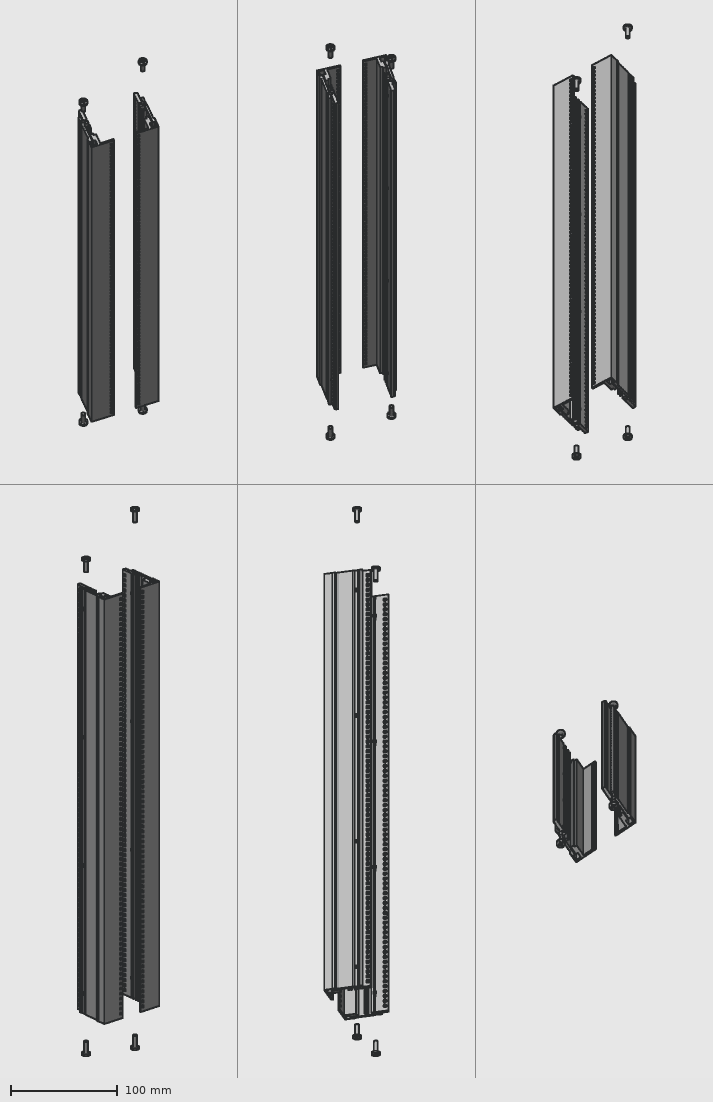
import cadquery as cq

HORIZONTAL_PITCH = 5.08
HOLES_PER_ROW = 84
RAIL_LENGTH = HORIZONTAL_PITCH * (HOLES_PER_ROW + 1)
RAIL_TOP = 209.54
RAIL_BOTTOM = RAIL_TOP - RAIL_LENGTH

RAIL_DEPTH = 44.5
FRONT = -RAIL_DEPTH / 2
BACK = RAIL_DEPTH / 2
OVERALL_WIDTH = 67.62
OUTER = OVERALL_WIDTH / 2

HEAD_DIAMETER = 8.0
HEAD_HEIGHT = 3.1
DOME_HEIGHT = 1.35
SHANK_DIAMETER = 4.0
SHANK_LENGTH = 12.0
CORE_DIAMETER = 3.14
NECK_FILLET = 0.3
RECESS_SPAN = 4.4
RECESS_WIDTH = 1.0
RECESS_DEPTH = 2.0

WALL_OUT = 32.8
WALL_IN = 30.4
NOSE_ROUND = 1.0
NOSE_TIP = -14.8

LIP_OUT = 29.5
LIP_IN = 25.85
LIP_END = -5.6
LIP_CHAMFER_X = 0.6
LIP_CHAMFER_Y = 1.3

PORT_X = -8.9
PORT_Y = OUTER - HEAD_DIAMETER / 2
PORT_DIAMETER = 3.2
PORT_SLOT_WIDTH = 1.5
PORT_BLOCK_FRONT = -12.0

WIDE_GROOVE_HALF = 3.2
NARROW_GROOVE_HALF = 1.5
GROOVE_STEP = 0.2

FORK_X = -0.8
FORK_NECK_HALF = 1.0
FORK_TIP_HALF = 2.0
FORK_TIP_SLOT_HALF = 1.0
FORK_SLOT_FLOOR = 27.4

BLOCK_FRONT = 7.5
BLOCK_FOOT_FRONT = 9.2
BLOCK_STEP = 26.6
BLOCK_IN = 24.1
RIDGE_NOTCH_START = 8.9
RIDGE_NOTCH_END = 10.75
RIDGE_NOTCH_DEPTH = 0.25
RIDGE_FRONT = 11.7
RIDGE_BACK = 14.0
RIDGE_HEIGHT = 0.15

POCKET_IN = 27.2
POCKET_FRONT = 15.6
POCKET_BACK = 20.4
POCKET_OUT = 32.2

FLANGE_THICKNESS = 1.8
FLANGE_END = 11.0

LIP_HOLE_X = -19.1
LIP_HOLE_DIAMETER = 3.0
FLANGE_HOLE_Y = 13.4
FLANGE_HOLE_DIAMETER = 2.5
CROSS_HOLE_DIAMETER = 3.0
CROSS_HOLE_COUNT = 4
CROSS_HOLE_END_MARGIN = 4 * HORIZONTAL_PITCH
CROSS_HOLE_PITCH = (RAIL_LENGTH - 2 * CROSS_HOLE_END_MARGIN) / (CROSS_HOLE_COUNT - 1)

OUTER_CROWN = 276.035
LEFT_TOP_CROWN = OUTER_CROWN
RIGHT_TOP_CROWN = 241.8
RIGHT_BOTTOM_CROWN = -265.8
LEFT_BOTTOM_CROWN = -OUTER_CROWN


def rail_section():
    flange_in = BACK - FLANGE_THICKNESS
    profile = (
        cq.Workplane("XY", origin=(0, 0, RAIL_BOTTOM))
        .moveTo(PORT_BLOCK_FRONT, WALL_IN)
        .lineTo(NOSE_TIP + NOSE_ROUND, WALL_IN)
        .radiusArc((NOSE_TIP, WALL_IN + NOSE_ROUND), NOSE_ROUND)
        .lineTo(NOSE_TIP, WALL_OUT - NOSE_ROUND)
        .radiusArc((NOSE_TIP + NOSE_ROUND, WALL_OUT), NOSE_ROUND)
        .lineTo(RIDGE_NOTCH_START, WALL_OUT)
        .lineTo(RIDGE_NOTCH_END, WALL_OUT - RIDGE_NOTCH_DEPTH)
        .lineTo(RIDGE_FRONT, OUTER)
        .lineTo(RIDGE_BACK, OUTER)
        .lineTo(RIDGE_BACK, OUTER - RIDGE_HEIGHT)
        .lineTo(BACK, OUTER - RIDGE_HEIGHT)
        .lineTo(BACK, FLANGE_END)
        .lineTo(flange_in, FLANGE_END)
        .lineTo(flange_in, BLOCK_IN)
        .lineTo(BLOCK_FOOT_FRONT, BLOCK_IN)
        .lineTo(BLOCK_FOOT_FRONT, BLOCK_STEP)
        .lineTo(BLOCK_FRONT, BLOCK_STEP)
        .lineTo(BLOCK_FRONT, LIP_OUT)
        .lineTo(POCKET_FRONT, LIP_OUT)
        .lineTo(POCKET_FRONT, POCKET_IN)
        .lineTo(POCKET_BACK, POCKET_IN)
        .lineTo(POCKET_BACK, POCKET_OUT)
        .lineTo(POCKET_FRONT, POCKET_OUT)
        .lineTo(POCKET_FRONT, WALL_IN)
        .lineTo(FORK_X + FORK_NECK_HALF, WALL_IN)
        .lineTo(FORK_X + FORK_NECK_HALF, FORK_SLOT_FLOOR)
        .lineTo(FORK_X + FORK_TIP_HALF, LIP_IN)
        .lineTo(FORK_X + FORK_TIP_SLOT_HALF, LIP_IN)
        .lineTo(FORK_X, FORK_SLOT_FLOOR)
        .lineTo(FORK_X - FORK_TIP_SLOT_HALF, LIP_IN)
        .lineTo(FORK_X - FORK_TIP_HALF, LIP_IN)
        .lineTo(FORK_X - FORK_NECK_HALF, FORK_SLOT_FLOOR)
        .lineTo(FORK_X - FORK_NECK_HALF, WALL_IN)
        .lineTo(LIP_END, WALL_IN)
        .lineTo(LIP_END, LIP_IN)
        .lineTo(FRONT, LIP_IN)
        .lineTo(FRONT, LIP_OUT - LIP_CHAMFER_Y)
        .lineTo(FRONT + LIP_CHAMFER_X, LIP_OUT)
        .lineTo(PORT_BLOCK_FRONT, LIP_OUT)
        .close()
        .extrude(RAIL_LENGTH)
    )
    port = (
        cq.Workplane("XY", origin=(PORT_X, PORT_Y, RAIL_BOTTOM))
        .circle(PORT_DIAMETER / 2)
        .extrude(RAIL_LENGTH)
    )
    port_slot = (
        cq.Workplane("XY", origin=(PORT_X, (PORT_Y + LIP_IN) / 2, RAIL_BOTTOM))
        .rect(PORT_SLOT_WIDTH, PORT_Y - LIP_IN)
        .extrude(RAIL_LENGTH)
    )
    return profile.cut(port).cut(port_slot)


def cut_groove(rail, half_width, depth):
    groove = (
        cq.Workplane("XY", origin=(PORT_X, WALL_OUT - depth / 2, RAIL_BOTTOM))
        .rect(2 * half_width, depth)
        .extrude(RAIL_LENGTH)
    )
    return rail.cut(groove)


def drill_rail(rail):
    heights = [RAIL_BOTTOM + HORIZONTAL_PITCH * (row + 1) for row in range(HOLES_PER_ROW)]
    lip_holes = (
        cq.Workplane("XZ", origin=(0, LIP_OUT, 0))
        .pushPoints([(LIP_HOLE_X, z) for z in heights])
        .circle(LIP_HOLE_DIAMETER / 2)
        .extrude(LIP_OUT - LIP_IN)
    )
    flange_holes = (
        cq.Workplane("YZ", origin=(BACK - FLANGE_THICKNESS, 0, 0))
        .pushPoints([(FLANGE_HOLE_Y, z) for z in heights])
        .circle(FLANGE_HOLE_DIAMETER / 2)
        .extrude(FLANGE_THICKNESS)
    )
    middle = (RAIL_TOP + RAIL_BOTTOM) / 2
    cross_holes = (
        cq.Workplane("XZ", origin=(0, WALL_OUT, 0))
        .center(PORT_X, middle)
        .rarray(1, CROSS_HOLE_PITCH, 1, CROSS_HOLE_COUNT)
        .circle(CROSS_HOLE_DIAMETER / 2)
        .extrude(WALL_OUT - LIP_IN)
    )
    return rail.cut(lip_holes).cut(flange_holes).cut(cross_holes)


def make_screw():
    head_radius = HEAD_DIAMETER / 2
    shank_radius = SHANK_DIAMETER / 2
    core_radius = CORE_DIAMETER / 2
    dome_radius = (head_radius**2 + DOME_HEIGHT**2) / (2 * DOME_HEIGHT)
    tip = -HEAD_HEIGHT - SHANK_LENGTH
    tip_chamfer = shank_radius - core_radius
    body = (
        cq.Workplane("XZ")
        .moveTo(0, 0)
        .radiusArc((head_radius, -DOME_HEIGHT), dome_radius)
        .lineTo(head_radius, -HEAD_HEIGHT)
        .lineTo(shank_radius + NECK_FILLET, -HEAD_HEIGHT)
        .radiusArc((shank_radius, -HEAD_HEIGHT - NECK_FILLET), -NECK_FILLET)
        .lineTo(shank_radius, tip + tip_chamfer)
        .lineTo(core_radius, tip)
        .lineTo(0, tip)
        .close()
        .revolve(360, (0, 0, 0), (0, 1, 0))
    )
    for size_x, size_y in [(RECESS_SPAN, RECESS_WIDTH), (RECESS_WIDTH, RECESS_SPAN)]:
        recess_arm = cq.Workplane("XY").rect(size_x, size_y).extrude(-RECESS_DEPTH)
        body = body.cut(recess_arm)
    return body


section = rail_section()
section = cut_groove(section, WIDE_GROOVE_HALF, GROOVE_STEP)
section = cut_groove(section, NARROW_GROOVE_HALF, 2 * GROOVE_STEP)
left_rail = drill_rail(section)
right_rail = left_rail.mirror("XZ")

screw_up = make_screw()
screw_down = screw_up.mirror("XY")
screws = [
    screw_up.translate((PORT_X, PORT_Y, LEFT_TOP_CROWN)),
    screw_up.translate((PORT_X, -PORT_Y, RIGHT_TOP_CROWN)),
    screw_down.translate((PORT_X, PORT_Y, LEFT_BOTTOM_CROWN)),
    screw_down.translate((PORT_X, -PORT_Y, RIGHT_BOTTOM_CROWN)),
]

result = cq.Compound.makeCompound(
    [left_rail.val(), right_rail.val()] + [screw.val() for screw in screws]
)